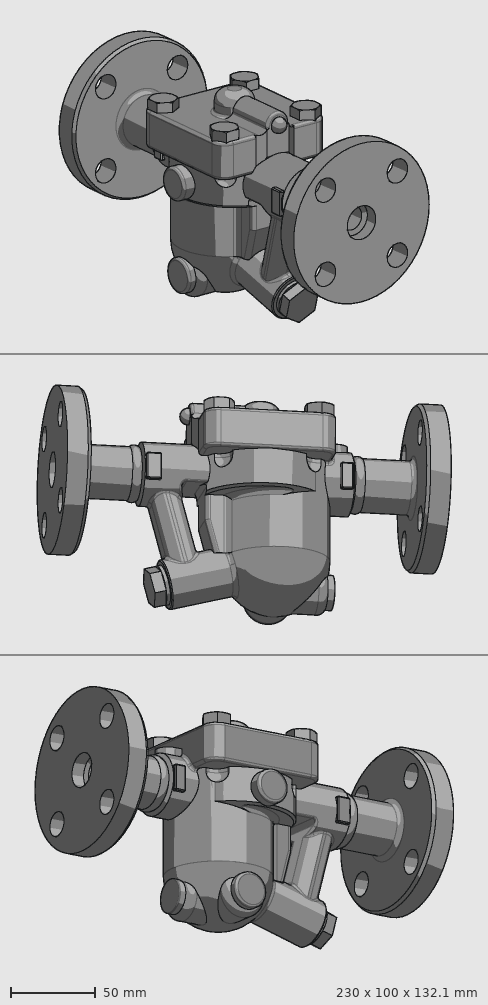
import cadquery as cq
import math

diagonal = math.sqrt(0.5)
overlap = 1
margin = 0.1

overall_length = 230
half_length = overall_length / 2
flange_dia = 100
flange_thickness = 14.5
flange_chamfer_length = 2.1
flange_chamfer_depth = 1.5
bolt_circle_dia = 75
flange_hole_dia = 15
pipe_dia = 32
pipe_fillet = 3
socket_dia = 38
socket_end = 62.7
bead_dia = 34.2
bead_length = 5.7
socket_cone_length = 1.3
port_dia = 21
port_depth = 8.2
bore_dia = 15
bore_depth = 50

pad_height = 16
pad_span = 40.2
pad_inset = 0.7
inlet_pad_length = 7.5
outlet_pad_length = 9
pad_chamfer = 0.7
tongue_radius = 7.6
tongue_end = -61.7
tongue_top = 22.4

cover_x = -9.5
cover_size = 79.2
cover_corner = 9
cover_top = 32.3
body_flange_bottom = 8.4
cover_edge_fillet = 2
socket_root_fillet = 2
bolt_pitch = 60
bolt_flats = 16
bolt_top = 38.7
bolt_chamfer_depth = 1
bolt_chamfer_length = 0.5
bulge_reach = 33.2
bulge_base_half_width = 14
bulge_tip_half_width = 8
bulge_taper_top = 18.5

dome_radius = 12
dome_top = 47
dome_round = 7.8
dome_base_fillet = 2
tube_radius = 8
tube_axis_z = 36.9
tube_end_fillet = 1.8
pin_dia = 10
pin_reach = 38.6

body_x = -18.4
body_radius = 32.5
body_bottom = -82.08
sphere_z = body_bottom + body_radius
neck_radius = 38.5
neck_bottom = -14.2
neck_chamfer = 1.5
neck_fillet = 3.5
pocket_radius = 8
pocket_ball_z = 6

plug_dia = 21
plug_z = -3.1
plug_face_y = -45.4
plug_edge_fillet = 1.8
drain_boss_bottom = -80.5
drain_boss_straight = 24
drain_boss_reach = 30
inlet_drain_z = -67
inlet_drain_dia = 21
inlet_drain_edge = 0.4
front_drain_z = -66
front_drain_dia = 22
front_drain_edge = 1.6
inlet_drain_reach = 34.2
front_drain_reach = 35.1

lean = math.radians(15)
arm_dia = 30
arm_length = 68.7
arm_end_chamfer = 0.7
arm_root_fillet = 3.5
gasket_dia = 24
gasket_end = 71
cap_flats = 21
cap_end = 78
passage_station = 55.4
passage_thickness = 18.3
passage_width = 26
passage_round = 8.15
passage_top = -5
passage_root_fillet = 2
rib_x = 25.5
rib_fillet = 2.8
rib_root_fillet = 5
rib_bend_z = -29.5
window_top = -7.8
window_fillet = 2.5
window_edge_fillet = 1.5
window_start_x = 15


def box_of(x_range, y_range, z_range):
    """Selector for edges that lie wholly inside the given ranges."""
    low, high = zip(x_range, y_range, z_range)
    return cq.selectors.BoxSelector(low, high, boundingbox=True)


def cylinder_x(radius, x_start, x_end, y=0, z=0):
    plane = cq.Plane(origin=(x_start, y, z), xDir=(0, 1, 0), normal=(1, 0, 0))
    return cq.Workplane(plane).circle(radius).extrude(x_end - x_start)


def cylinder_z(radius, x, y, z_start, z_end):
    return cq.Workplane("XY", origin=(x, y, z_start)).circle(radius).extrude(z_end - z_start)


def hexagon_dia(flats):
    return flats / math.cos(math.pi / 6)


def pipe_end():
    """Outlet flange, pipe and weld bead, revolved about X."""
    flange_back = half_length - flange_thickness
    pipe_radius = pipe_dia / 2
    flange_radius = flange_dia / 2
    bead_start = socket_end + socket_cone_length
    corner = pipe_fillet * (1 - diagonal)
    return (
        cq.Workplane("XY")
        .moveTo(socket_end - overlap, 0)
        .lineTo(socket_end - overlap, socket_dia / 2)
        .lineTo(socket_end, socket_dia / 2)
        .lineTo(bead_start, pipe_radius)
        .threePointArc(
            (bead_start + bead_length / 2, bead_dia / 2), (bead_start + bead_length, pipe_radius)
        )
        .lineTo(flange_back - pipe_fillet, pipe_radius)
        .threePointArc(
            (flange_back - corner, pipe_radius + corner), (flange_back, pipe_radius + pipe_fillet)
        )
        .lineTo(flange_back, flange_radius - flange_chamfer_depth)
        .lineTo(flange_back + flange_chamfer_length, flange_radius)
        .lineTo(half_length, flange_radius)
        .lineTo(half_length, 0)
        .close()
        .revolve(360, (0, 0, 0), (1, 0, 0))
    )


def port_cutter():
    """Stepped outlet bore with a conical shoulder, plus the four flange holes."""
    shoulder = (port_dia - bore_dia) / 4
    bore = (
        cq.Workplane("XY")
        .moveTo(half_length, 0)
        .lineTo(half_length, port_dia / 2)
        .lineTo(half_length - port_depth, port_dia / 2)
        .lineTo(half_length - port_depth - shoulder, bore_dia / 2)
        .lineTo(half_length - bore_depth, bore_dia / 2)
        .lineTo(half_length - bore_depth, 0)
        .close()
        .revolve(360, (0, 0, 0), (1, 0, 0))
    )
    offset = bolt_circle_dia / 2 * diagonal
    for y in (-offset, offset):
        for z in (-offset, offset):
            hole = cylinder_x(flange_hole_dia / 2, half_length - flange_thickness, half_length, y, z)
            bore = bore.union(hole)
    return bore


def both_ends(shape):
    return shape.union(shape.mirror("YZ"))


def sockets():
    """Inlet and outlet sockets as one bar through the body."""
    return cylinder_x(socket_dia / 2, -socket_end, socket_end)


def wrench_pad(length, side):
    center = side * (socket_end - pad_inset - length / 2)
    pad = cq.Workplane("XY").box(length, pad_span, pad_height).edges("|Y or <Y or >Y").chamfer(pad_chamfer)
    return pad.translate((center, 0, 0))


def inlet_tongue():
    nose_x = tongue_end + tongue_radius
    root_x = cover_x - cover_size / 2 + overlap
    nose = cylinder_z(tongue_radius, nose_x, 0, 0, tongue_top)
    bar = cq.Workplane("XY", origin=(nose_x, 0, 0))
    bar = bar.box(root_x - nose_x, 2 * tongue_radius, tongue_top, centered=(False, True, False))
    return nose.union(bar)


def bulge_plan(z_start, z_end):
    """Prism narrowing toward the outlet, which bounds the cover bulge and tube end."""
    base_x = cover_x + cover_size / 2
    back_x = cover_x - dome_radius
    return (
        cq.Workplane("XY", origin=(0, 0, z_start))
        .polyline([
            (back_x, -bulge_base_half_width),
            (base_x, -bulge_base_half_width),
            (bulge_reach, -bulge_tip_half_width),
            (bulge_reach, bulge_tip_half_width),
            (base_x, bulge_base_half_width),
            (back_x, bulge_base_half_width),
        ])
        .close()
        .extrude(z_end - z_start)
    )


def cover_plate():
    """Cover and body flange, with the passage bulge on the outlet side."""
    plate = (
        cq.Workplane("XY", origin=(cover_x, 0, body_flange_bottom))
        .rect(cover_size, cover_size)
        .extrude(cover_top - body_flange_bottom)
        .edges("|Z")
        .fillet(cover_corner)
        .faces("<Z or >Z")
        .edges()
        .fillet(cover_edge_fillet)
    )
    base_x = cover_x + cover_size / 2
    bulge_side = (
        cq.Workplane("XZ")
        .polyline([
            (cover_x, body_flange_bottom),
            (base_x, body_flange_bottom),
            (bulge_reach, bulge_taper_top),
            (bulge_reach, cover_top),
            (cover_x, cover_top),
        ])
        .close()
        .extrude(cover_size / 2, both=True)
    )
    inlet_side_x = cover_x - cover_size / 2
    inlet_root = box_of(
        (inlet_side_x - margin, inlet_side_x + cover_corner),
        (-socket_dia / 2, socket_dia / 2),
        (body_flange_bottom - margin, socket_dia / 2 + margin),
    )
    inlet_socket = cylinder_x(socket_dia / 2, -socket_end, cover_x)
    plate = plate.union(inlet_socket).edges(inlet_root).fillet(socket_root_fillet)
    return plate.union(bulge_plan(body_flange_bottom, cover_top).intersect(bulge_side))


def cover_bolts():
    """Four hexagon heads; neighbours are turned by 30 degrees."""
    heads = cq.Workplane("XY")
    head_height = bolt_top - cover_top + overlap
    across_corners = hexagon_dia(bolt_flats)
    turned_blank = cq.Workplane("XY").circle(across_corners / 2).extrude(head_height)
    turned_blank = turned_blank.faces(">Z").chamfer(bolt_chamfer_length, bolt_chamfer_depth)
    for x_side in (-1, 1):
        for y_side in (-1, 1):
            x = cover_x + x_side * bolt_pitch / 2
            y = y_side * bolt_pitch / 2
            turn = 0 if x_side == y_side else 30
            head = (
                cq.Workplane("XY")
                .polygon(6, across_corners)
                .extrude(head_height)
                .intersect(turned_blank)
                .rotate((0, 0, 0), (0, 0, 1), turn)
                .translate((x, y, cover_top - overlap))
            )
            heads = heads.add(head)
    return heads.combine()


def cover_tube():
    """Dome, tube flared onto the cover, and the round-nosed pin at its end."""
    flare = tube_axis_z - cover_top
    corner = flare * diagonal
    crown = box_of(
        (bulge_reach - overlap, bulge_reach + overlap),
        (-dome_radius, dome_radius),
        (tube_axis_z - margin, dome_top),
    )
    tube = (
        cq.Workplane(cq.Plane(origin=(cover_x, 0, 0), xDir=(0, 1, 0), normal=(1, 0, 0)))
        .moveTo(-tube_radius - flare, cover_top - overlap)
        .lineTo(-tube_radius - flare, cover_top)
        .threePointArc(
            (-tube_radius - flare + corner, tube_axis_z - corner), (-tube_radius, tube_axis_z)
        )
        .threePointArc((0, tube_axis_z + tube_radius), (tube_radius, tube_axis_z))
        .threePointArc(
            (tube_radius + flare - corner, tube_axis_z - corner), (tube_radius + flare, cover_top)
        )
        .lineTo(tube_radius + flare, cover_top - overlap)
        .close()
        .extrude(bulge_reach - cover_x)
        .intersect(bulge_plan(cover_top - overlap, dome_top))
        .edges(crown)
        .fillet(tube_end_fillet)
    )
    dome = cylinder_z(dome_radius, cover_x, 0, cover_top, dome_top).faces(">Z").edges().fillet(dome_round)
    skirt_inset = dome_base_fillet * (1 - diagonal)
    skirt = (
        cq.Workplane("XZ")
        .moveTo(0, cover_top)
        .lineTo(dome_radius + dome_base_fillet, cover_top)
        .threePointArc(
            (dome_radius + skirt_inset, cover_top + skirt_inset),
            (dome_radius, cover_top + dome_base_fillet),
        )
        .lineTo(0, cover_top + dome_base_fillet)
        .close()
        .revolve(360, (0, 0, 0), (0, 1, 0))
        .translate((cover_x, 0, 0))
    )
    pin_radius = pin_dia / 2
    ball_x = pin_reach - pin_radius
    pin = cylinder_x(pin_radius, cover_x, ball_x, 0, tube_axis_z)
    ball = cq.Workplane("XY").sphere(pin_radius).translate((ball_x, 0, tube_axis_z))
    return tube.union(dome).union(skirt).union(pin).union(ball)


def bowl():
    """Round-bottomed lower body."""
    wall = cylinder_z(body_radius, body_x, 0, sphere_z, body_flange_bottom + overlap)
    return wall.union(cq.Workplane("XY").sphere(body_radius).translate((body_x, 0, sphere_z)))


def body_shell():
    """Bowl with the wider neck under the cover and a fillet below its ledge."""
    neck = (
        cylinder_z(neck_radius, cover_x, 0, neck_bottom, body_flange_bottom + overlap)
        .faces("<Z")
        .edges()
        .chamfer(neck_chamfer)
    )
    reach = body_radius + overlap
    ledge = box_of(
        (body_x - reach, body_x + reach),
        (-reach, reach),
        (neck_bottom - margin, neck_bottom + margin),
    )
    return bowl().union(neck).edges(ledge).fillet(neck_fillet)


def bolt_pockets():
    """Round-ended clearance pockets in the neck under the bolts."""
    pockets = cq.Workplane("XY")
    for x_side in (-1, 1):
        for y_side in (-1, 1):
            x = cover_x + x_side * bolt_pitch / 2
            y = y_side * bolt_pitch / 2
            ball = cq.Workplane("XY").sphere(pocket_radius).translate((x, y, pocket_ball_z))
            shaft = cylinder_z(pocket_radius, x, y, pocket_ball_z, body_flange_bottom)
            pockets = pockets.add(shaft.union(ball))
    return pockets.combine()


def arm_plane(station=0):
    """Plane square to the strainer arm; local X is along Y."""
    origin = (body_x + station * math.cos(lean), 0, sphere_z - station * math.sin(lean))
    return cq.Plane(origin=origin, xDir=(0, 1, 0), normal=(math.cos(lean), 0, -math.sin(lean)))


def passage_foot():
    """Foot of the return passage on the arm axis."""
    x = body_x + passage_station * math.cos(lean)
    z = sphere_z - passage_station * math.sin(lean)
    return x, z


def return_passage():
    x, z = passage_foot()
    plane = cq.Plane(origin=(x, 0, z), xDir=(0, 1, 0), normal=(math.sin(lean), 0, math.cos(lean)))
    length = (passage_top - z) / math.cos(lean)
    return (
        cq.Workplane(plane)
        .rect(passage_width, passage_thickness)
        .extrude(length)
        .edges(cq.selectors.ParallelDirSelector(plane.zDir))
        .fillet(passage_round)
    )


def strainer_arm():
    """Arm filleted into the bowl and the return passage, with its gasket and hexagon cap."""
    arm = cq.Workplane(arm_plane()).circle(arm_dia / 2).extrude(arm_length)
    arm = arm.faces(">X").chamfer(arm_end_chamfer)
    gasket = cq.Workplane(arm_plane()).circle(gasket_dia / 2).extrude(gasket_end)
    cap = (
        cq.Workplane(arm_plane(gasket_end))
        .transformed(rotate=(0, 0, 90))
        .polygon(6, hexagon_dia(cap_flats))
        .extrude(cap_end - gasket_end)
    )
    root = box_of(
        (body_x, body_x + body_radius + overlap),
        (-arm_dia, arm_dia),
        (body_bottom, sphere_z + arm_dia / 2),
    )
    rooted_arm = bowl().union(arm).edges(root).edges("%BSPLINE").fillet(arm_root_fillet)
    foot_x, foot_z = passage_foot()
    foot = box_of(
        (foot_x - passage_thickness, foot_x + passage_thickness),
        (-passage_width, passage_width),
        (foot_z, foot_z + passage_thickness),
    )
    branch = arm.union(return_passage()).edges(foot).edges("%BSPLINE").fillet(passage_root_fillet)
    return rooted_arm.union(branch).union(gasket).union(cap)


def passage_side_x(z):
    """X of the passage face nearest the body at height z."""
    foot_x, foot_z = passage_foot()
    return foot_x - passage_thickness / 2 / math.cos(lean) + (z - foot_z) * math.tan(lean)


def window(start_x):
    """Opening through Y, from start_x to the return passage."""
    return (
        cq.Workplane("XZ")
        .polyline([
            (start_x, window_top),
            (passage_side_x(window_top), window_top),
            (passage_side_x(rib_bend_z), rib_bend_z),
            (start_x, rib_bend_z),
        ])
        .close()
        .extrude(cover_size / 2, both=True)
        .edges("|Y and >Z")
        .fillet(window_fillet)
    )


def body_rib():
    """Rib on the outlet side of the bowl, running down to the arm."""
    half_width = passage_width / 2
    outer_edges = box_of(
        (body_x + overlap, rib_x + overlap),
        (-passage_width, passage_width),
        (sphere_z - margin, window_top + margin),
    )
    rib = (
        cq.Workplane("XZ")
        .polyline([
            (body_x, window_top),
            (rib_x, window_top),
            (rib_x, rib_bend_z),
            (rib_x + (sphere_z - rib_bend_z) * math.tan(lean), sphere_z),
            (body_x, sphere_z),
        ])
        .close()
        .extrude(half_width, both=True)
        .edges(outer_edges)
        .edges("<Y or >Y")
        .fillet(rib_fillet)
    )
    meeting_x = body_x + math.sqrt(body_radius**2 - half_width**2)
    root = box_of(
        (meeting_x - margin, meeting_x + margin),
        (-passage_width, passage_width),
        (sphere_z - margin, window_top + margin),
    )
    return bowl().union(rib).edges(root).edges("|Z").fillet(rib_root_fillet)


def socket_bar():
    """Sockets opened by the window, with the return passage joined to them."""
    span = (-cover_size, cover_size)
    rim = box_of((window_start_x + overlap, half_length), span, (-socket_dia, window_top + margin))
    bar = sockets().cut(window(window_start_x))
    bar = bar.edges(rim).edges("not |Y").fillet(window_edge_fillet)
    z_range = (-socket_dia / 2, -socket_dia / 3)
    root = box_of((rib_x, socket_end), (-passage_width, passage_width), z_range)
    return bar.union(return_passage()).edges(root).edges("%BSPLINE").fillet(passage_root_fillet)


def side_plug():
    plane = cq.Plane(origin=(cover_x, plug_face_y, plug_z), xDir=(1, 0, 0), normal=(0, 1, 0))
    return (
        cq.Workplane(plane)
        .circle(plug_dia / 2)
        .extrude(-plug_face_y)
        .faces("<Y")
        .edges()
        .fillet(plug_edge_fillet)
    )


def drain(z, plug_dia, edge, reach):
    """Boss with a rounded shoulder and a plug of rounded edge, along -Y from the body axis."""
    boss_radius = z - drain_boss_bottom
    plug_radius = plug_dia / 2
    shoulder = (boss_radius - plug_radius) * diagonal
    shoulder_length = (drain_boss_reach - drain_boss_straight) * diagonal
    corner = edge * (1 - diagonal)
    return (
        cq.Workplane("XY")
        .lineTo(boss_radius, 0)
        .lineTo(boss_radius, -drain_boss_straight)
        .threePointArc(
            (plug_radius + shoulder, -drain_boss_straight - shoulder_length),
            (plug_radius, -drain_boss_reach),
        )
        .lineTo(plug_radius, edge - reach)
        .threePointArc((plug_radius - corner, corner - reach), (plug_radius - edge, -reach))
        .lineTo(0, -reach)
        .close()
        .revolve(360, (0, 0, 0), (0, 1, 0))
        .translate((0, 0, z))
    )


def drains():
    front = drain(front_drain_z, front_drain_dia, front_drain_edge, front_drain_reach)
    inlet = drain(inlet_drain_z, inlet_drain_dia, inlet_drain_edge, inlet_drain_reach)
    inlet = inlet.rotate((0, 0, 0), (0, 0, 1), -90)
    return front.union(inlet).translate((body_x, 0, 0))


result = body_shell().cut(window(rib_x)).union(socket_bar())
result = result.union(body_rib()).union(strainer_arm()).cut(bolt_pockets())
result = result.union(both_ends(pipe_end()))
result = result.union(wrench_pad(inlet_pad_length, -1)).union(wrench_pad(outlet_pad_length, 1))
result = result.union(inlet_tongue()).union(cover_plate()).union(cover_tube()).union(cover_bolts())
result = result.union(side_plug()).union(drains())
result = result.cut(both_ends(port_cutter()))
result = cq.Workplane(result.solids().val())